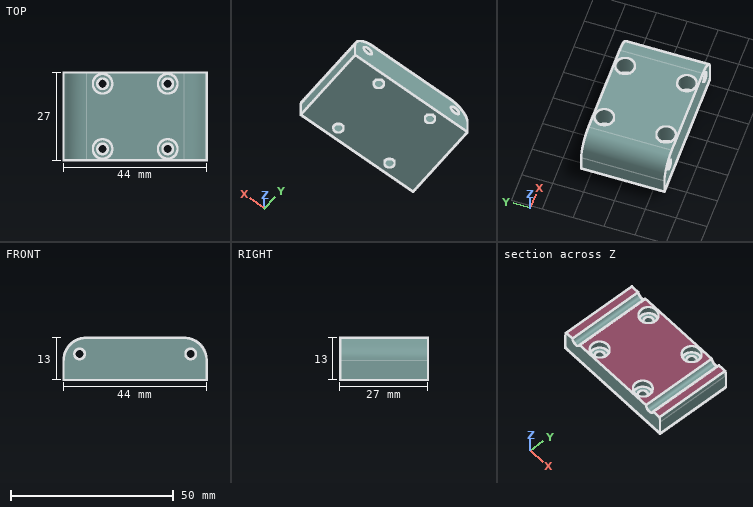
import cadquery as cq

length = 44.0
width = 27.0
height = 13.0
edge_radius = 7.0

hole_diameter = 3.15
counterbore_diameter = 6.0
counterbore_depth = 8.0
screw_pitch = 20.0
cross_hole_spacing = 34.1
cross_hole_height = 8.0


def rounded_block():
    """Block resting on Z = 0 with both long top ends rounded across the width."""
    block = cq.Workplane("XY").box(length, width, height, centered=(True, True, False))
    return block.faces(">Z").edges("|Y").fillet(edge_radius)


def drill_screw_holes(body):
    """Four counterbored through holes on a square pattern, entered from the top."""
    return (
        body.faces(">Z")
        .workplane(origin=(0, 0, height))
        .rarray(screw_pitch, screw_pitch, 2, 2)
        .cboreHole(hole_diameter, counterbore_diameter, counterbore_depth)
    )


def drill_cross_holes(body):
    """Two through holes along Y, one near each rounded end."""
    offset_x = cross_hole_spacing / 2
    drills = (
        cq.Workplane("XZ")
        .pushPoints([(-offset_x, cross_hole_height), (offset_x, cross_hole_height)])
        .circle(hole_diameter / 2)
        .extrude(width / 2, both=True)
    )
    return body.cut(drills)


result = drill_cross_holes(drill_screw_holes(rounded_block()))